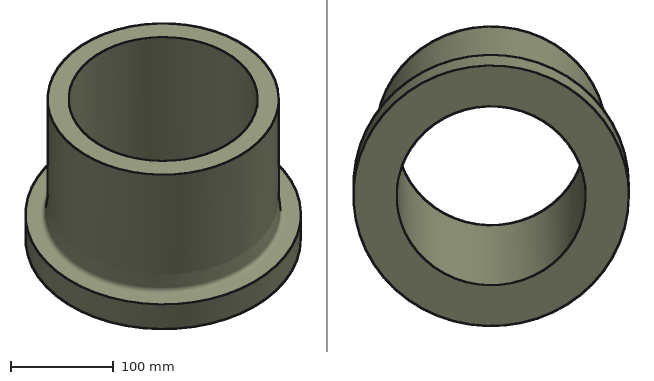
import cadquery as cq
import math

flange_diameter = 268.0
flange_thickness = 32.0
total_height = 180.0
pipe_diameter = 224.9
bore_diameter = 183.8

taper_top_height = 51.2
taper_base_diameter = 228.3
fillet_radius = 4.8

flange_radius = flange_diameter / 2
pipe_radius = pipe_diameter / 2
bore_radius = bore_diameter / 2
taper_base_radius = taper_base_diameter / 2

fillet_top_height = flange_thickness + fillet_radius
fillet_outer_radius = taper_base_radius + fillet_radius
fillet_inset = fillet_radius * (1 - math.sqrt(0.5))
fillet_middle = (taper_base_radius + fillet_inset, flange_thickness + fillet_inset)

half_section = (
    cq.Workplane("XZ")
    .moveTo(bore_radius, 0)
    .lineTo(flange_radius, 0)
    .lineTo(flange_radius, flange_thickness)
    .lineTo(fillet_outer_radius, flange_thickness)
    .threePointArc(fillet_middle, (taper_base_radius, fillet_top_height))
    .lineTo(pipe_radius, taper_top_height)
    .lineTo(pipe_radius, total_height)
    .lineTo(bore_radius, total_height)
    .close()
)

result = half_section.revolve(360, (0, 0, 0), (0, 1, 0))